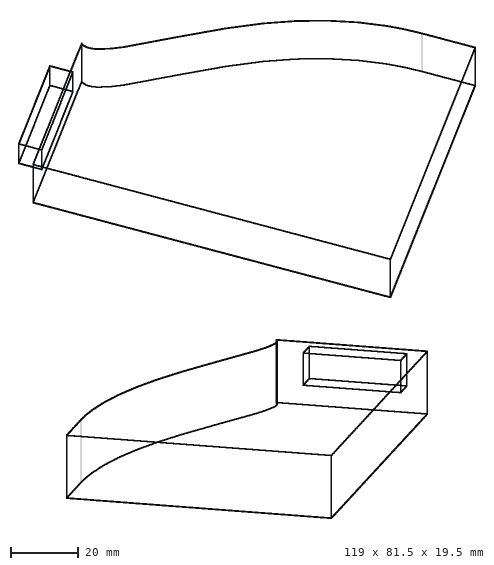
import cadquery as cq
import math

overall_length = 119.0
tab_length = 7.2
body_length = overall_length - tab_length
body_width = 81.5
body_height = 19.51

neck_width = 46.6
neck_start_angle = -40.0
curve_end_x = 95.0
curve_waypoints = [
    (7.05, 46.8),
    (15.4, 51.05),
    (50.7, 71.1),
]

tab_width = 30.0
tab_height = 10.0
tab_side_offset = 8.25
tab_base_offset = 6.0


def make_body():
    """Plate with its corner at the origin and its narrow end at X = 0."""
    start_angle = math.radians(neck_start_angle)
    neck_tangent = (math.cos(start_angle), math.sin(start_angle))
    full_width_tangent = (1.0, 0.0)
    return (
        cq.Workplane("XY")
        .moveTo(0, 0)
        .lineTo(0, neck_width)
        .spline(
            curve_waypoints + [(curve_end_x, body_width)],
            tangents=[neck_tangent, full_width_tangent],
            scale=False,
            includeCurrent=True,
        )
        .lineTo(body_length, body_width)
        .lineTo(body_length, 0)
        .close()
        .extrude(body_height)
    )


def make_tab():
    """Rectangular tongue reaching out from the narrow end."""
    return (
        cq.Workplane("XY")
        .box(tab_length, tab_width, tab_height, centered=False)
        .translate((-tab_length, tab_side_offset, tab_base_offset))
    )


result = make_body().union(make_tab())